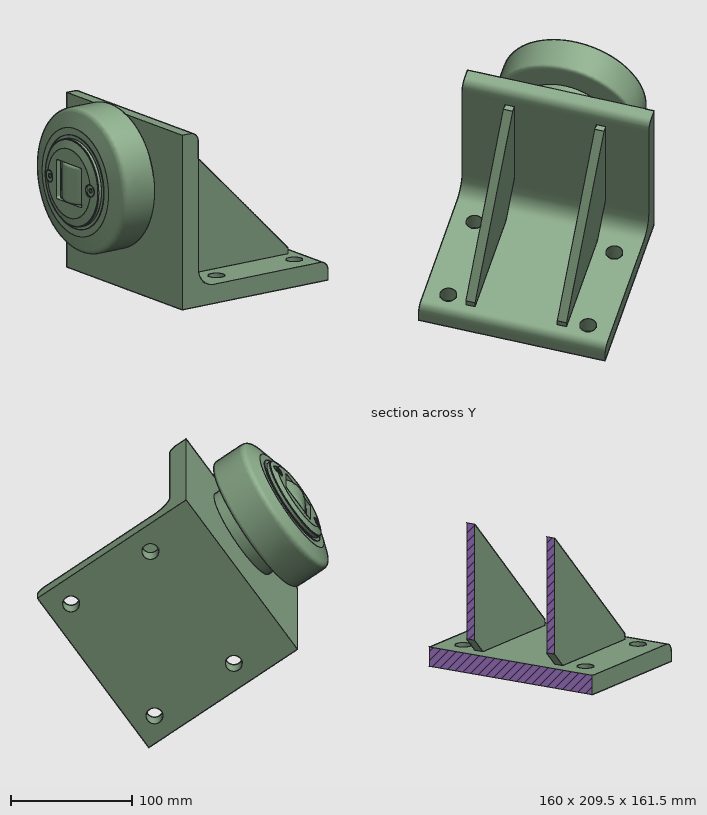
import cadquery as cq
import math


bracket_width = 160.0
leg_length = 150.0
leg_thickness = 16.5
edge_radius = 8.0
corner_radius = 16.0

hole_diameter = 13.8
hole_spacing_x = 119.8
hole_spacing_y = 80.0
hole_edge_distance = 20.0

rib_thickness = 8.0
rib_spacing = 78.4
rib_leg = 119.8
rib_end_height = 5.0
rib_corner_cut = 25.0

roller_axis_z = 100.0
stub_diameter = 80.0
roller_back = 13.2
roller_radius = 61.5
crown_drop = 0.2
roller_front = 50.5
roller_front_radius = 45.9
roller_cone_angle = 20
back_edge_radius = 3.0
front_edge_radius = 5.0

ring_radius = 39.8
ring_front = 51.1
hub_diameter = 74.0
hub_shoulder = 53.8
shoulder_chamfer = 0.6
hub_front = 57.0
hub_front_radius = 29.5

window_width = 35.2
window_height = 33.7
window_depth = 4.2
window_corner_radius = 1.9
side_roller_front = 59.5
side_roller_width = 31.0
side_roller_height = 33.0
side_roller_edge_radius = 2.5
side_crown_drop = 0.5

screw_spacing = 56.1
counterbore_diameter = 10.5
counterbore_depth = 2.5
screw_head_diameter = 9.8
screw_head_recess = 1.0
socket_diameter = 3.5
socket_depth = 0.6


def make_bracket():
    """L-shaped angle with rounded leg ends and a rounded inner corner."""
    angle = (
        cq.Workplane("YZ")
        .polyline([
            (0, 0),
            (leg_length, 0),
            (leg_length, leg_thickness),
            (leg_thickness, leg_thickness),
            (leg_thickness, leg_length),
            (0, leg_length),
        ])
        .close()
        .extrude(bracket_width / 2, both=True)
    )

    def long_edge(y, z):
        """Edge along X through a point of the L outline."""
        return cq.selectors.NearestToPointSelector((0, y, z))

    angle = angle.edges(long_edge(leg_thickness, leg_thickness)).fillet(corner_radius)
    angle = angle.edges(long_edge(leg_length, leg_thickness)).fillet(edge_radius)
    angle = angle.edges(long_edge(leg_thickness, leg_length)).fillet(edge_radius)

    hole_center_y = leg_length - hole_edge_distance - hole_spacing_y / 2
    holes = (
        cq.Workplane("XY")
        .center(0, hole_center_y)
        .rarray(hole_spacing_x, hole_spacing_y, 2, 2)
        .circle(hole_diameter / 2)
        .extrude(leg_thickness)
    )
    return angle.cut(holes)


def make_rib(center_x):
    """Triangular gusset whose inner corner is cut clear of the bracket's corner fillet."""
    inner_cut = leg_thickness + rib_corner_cut
    rib_reach = leg_thickness + rib_leg
    end_height = leg_thickness + rib_end_height
    return (
        cq.Workplane("YZ", origin=(center_x, 0, 0))
        .polyline([
            (inner_cut, leg_thickness),
            (rib_reach, leg_thickness),
            (rib_reach, end_height),
            (end_height, rib_reach),
            (leg_thickness, rib_reach),
            (leg_thickness, inner_cut),
        ])
        .close()
        .extrude(rib_thickness / 2, both=True)
    )


def roller_plane(distance):
    """Plane across the roller axis, a given distance out from the bracket, facing outward."""
    return cq.Workplane("XZ", origin=(0, -distance, roller_axis_z))


def make_stub():
    return roller_plane(0).circle(stub_diameter / 2).extrude(roller_back)


def spin_about_roller_axis(profile):
    """Revolve a profile of (radius, -distance) about the main roller axis."""
    return profile.close().revolve(360, (0, 0), (0, 1))


def profile_plane():
    return cq.Workplane("XY", origin=(0, 0, roller_axis_z))


def make_roller():
    """Slightly crowned roller with a conical front and rounded rims."""
    shoulder_radius = roller_radius - crown_drop
    cone_length = (shoulder_radius - roller_front_radius) * math.tan(math.radians(roller_cone_angle))
    cone_start = roller_front - cone_length
    tread_middle = (roller_back + cone_start) / 2
    roller = spin_about_roller_axis(
        profile_plane()
        .moveTo(0, -roller_back)
        .lineTo(shoulder_radius, -roller_back)
        .threePointArc((roller_radius, -tread_middle), (shoulder_radius, -cone_start))
        .lineTo(roller_front_radius, -roller_front)
        .lineTo(0, -roller_front)
    )
    roller = roller.faces(">Y").edges().fillet(back_edge_radius)
    front_rim = cq.selectors.NearestToPointSelector((0, -cone_start, roller_axis_z))
    return roller.edges(front_rim).fillet(front_edge_radius)


def make_hub():
    """Retaining ring followed by the hub, with a chamfered shoulder and a conical front."""
    hub_radius = hub_diameter / 2
    nose_radius = hub_radius - shoulder_chamfer
    return spin_about_roller_axis(
        profile_plane()
        .moveTo(0, -roller_front)
        .lineTo(ring_radius, -roller_front)
        .lineTo(ring_radius, -ring_front)
        .lineTo(hub_radius, -ring_front)
        .lineTo(hub_radius, -hub_shoulder)
        .lineTo(nose_radius, -hub_shoulder - shoulder_chamfer)
        .lineTo(hub_front_radius, -hub_front)
        .lineTo(0, -hub_front)
    )


def make_window():
    return (
        roller_plane(hub_front - window_depth)
        .rect(window_width, window_height)
        .extrude(window_depth)
        .edges("|Y")
        .fillet(window_corner_radius)
    )


def make_side_roller():
    """Crowned roller cap standing on the window floor, cut from a full roller at floor level."""
    floor = hub_front - window_depth
    rise = side_roller_front - floor
    half_width = side_roller_width / 2
    half_height = side_roller_height / 2
    radius = (half_width**2 + rise**2) / (2 * rise)
    end_radius = radius - side_crown_drop
    axis_y = radius - side_roller_front
    full_roller = (
        cq.Workplane("XZ", origin=(0, axis_y, roller_axis_z))
        .moveTo(0, -half_height)
        .lineTo(end_radius, -half_height)
        .threePointArc((radius, 0), (end_radius, half_height))
        .lineTo(0, half_height)
        .close()
        .revolve(360, (0, 0), (0, 1))
        .faces("<Z or >Z")
        .edges()
        .fillet(side_roller_edge_radius)
    )
    above_floor = roller_plane(floor).rect(window_width, window_height).extrude(rise)
    return full_roller.intersect(above_floor)


def screw_cylinder(diameter, bottom_depth, top_depth):
    """One cylinder per screw position, between two depths below the hub front."""
    return (
        roller_plane(hub_front - bottom_depth)
        .rarray(screw_spacing, 2, 2, 1)
        .circle(diameter / 2)
        .extrude(bottom_depth - top_depth)
    )


def make_screws():
    heads = screw_cylinder(screw_head_diameter, counterbore_depth, screw_head_recess)
    sockets = screw_cylinder(socket_diameter, screw_head_recess + socket_depth, screw_head_recess)
    return heads.cut(sockets)


hub = make_hub().cut(make_window()).cut(screw_cylinder(counterbore_diameter, counterbore_depth, 0))

result = make_bracket()
for side in (-1, 1):
    result = result.union(make_rib(side * rib_spacing / 2))
for piece in (make_stub(), make_roller(), hub, make_side_roller(), make_screws()):
    result = result.union(piece)